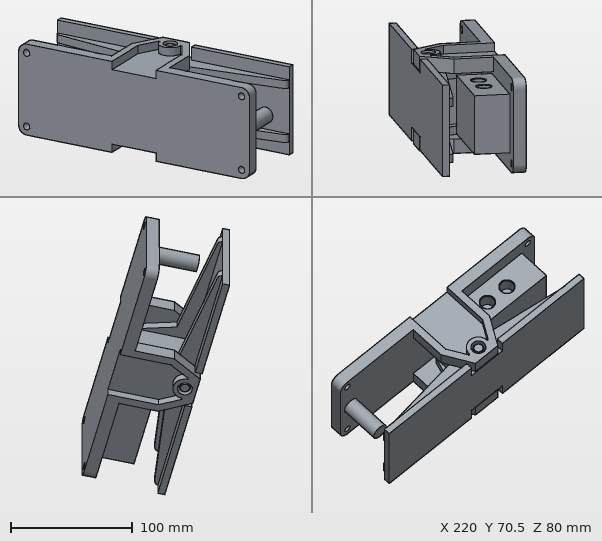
import cadquery as cq


BASE_LENGTH = 219.1
BASE_HEIGHT = 80.0
PLATE_THICKNESS = 11.0
CORNER_RADIUS = 8.0
SCREW_HOLE_DIAMETER = 6.0
SCREW_INSET = 7.7

PIVOT_Y = 60.0
POST_HALF_WIDTH = 27.5
POST_TOP_HALF_WIDTH = 12.5
POST_SHOULDER_Y = 44.2
POST_TOP_Y = 70.0
POST_THICKNESS = 12.3
POST_TOP_Z = BASE_HEIGHT / 2
POST_INNER_Z = POST_TOP_Z - POST_THICKNESS
PIVOT_HOLE_DIAMETER = 12.0

RECESS_DEPTH = 7.3
RECESS_HALF_WIDTH = 21.0
RECESS_TOP_HALF_WIDTH = 11.0
RECESS_SHOULDER_Y = 43.0
BOSS_RADIUS = 10.0

BLOCK_START_X = -95.0
BLOCK_END_X = -22.0
BLOCK_TOP_Y = 40.7
BLOCK_HEIGHT = 49.7
JACK_DIAMETER = 12.0
JACK_CHAMFER = 0.7
JACK_DEPTH = 13.2
JACK_Y = 26.5
JACK_XS = (-63.8, -41.8)

PEG_DIAMETER = 14.0
PEG_X = 98.1
PEG_TOP_Y = 46.2

PEDAL_LENGTH = 220.0
PEDAL_HEIGHT = 77.5
PEDAL_START_X = -BASE_LENGTH / 2
PEDAL_END_X = PEDAL_START_X + PEDAL_LENGTH
PEDAL_TOP_Y = 70.5
PEDAL_THICKNESS = 6.0
PEDAL_UNDER_Y = PEDAL_TOP_Y - PEDAL_THICKNESS
NOTCH_HALF_WIDTH = 17.4

RIB_OUTER_Z = 27.3
RIB_INNER_Z = 20.2
RIB_END_Y = 61.4
RIB_END_RADIUS = 3.7
RIB_END_INSET = 0.2
TONGUE_TOP_Y = 49.0
TONGUE_TOP_HALF_WIDTH = 17.0
TONGUE_BOTTOM_Y = 16.5
TONGUE_BOTTOM_HALF_WIDTH = 7.0

PIN_DIAMETER = 9.0
PIN_TIP_DIAMETER = 7.5
PIN_END_Z = 38.7


def prism(outline_points, z_start, z_end):
    """Extrude a closed XY outline from z_start to z_end."""
    outline = cq.Workplane("XY").workplane(offset=z_start).polyline(outline_points).close()
    return outline.extrude(z_end - z_start)


def block(x_range, y_range, z_range):
    """Box between the given limits on each axis."""
    (x0, x1), (y0, y1), (z0, z1) = x_range, y_range, z_range
    return cq.Workplane("XY").box(x1 - x0, y1 - y0, z1 - z0, centered=False).translate((x0, y0, z0))


def rod(diameter, x, y, z_start, z_end):
    """Cylinder parallel to Z."""
    outline = cq.Workplane("XY").workplane(offset=z_start).center(x, y).circle(diameter / 2)
    return outline.extrude(z_end - z_start)


def both_sides(shape):
    """The shape together with its mirror image in the XY plane."""
    return shape.union(shape.mirror("XY"))


def house_outline(half_width, shoulder_y, top_half_width, top_y):
    """Upright outline on y = 0 whose sides lean inwards above the shoulder."""
    return [
        (-half_width, 0),
        (half_width, 0),
        (half_width, shoulder_y),
        (top_half_width, top_y),
        (-top_half_width, top_y),
        (-half_width, shoulder_y),
    ]


def make_base_plate():
    plate = block(
        (-BASE_LENGTH / 2, BASE_LENGTH / 2),
        (0, PLATE_THICKNESS),
        (-BASE_HEIGHT / 2, BASE_HEIGHT / 2),
    )
    plate = plate.edges("|Y").fillet(CORNER_RADIUS)
    screw_spacing_x = BASE_LENGTH - 2 * SCREW_INSET
    screw_spacing_z = BASE_HEIGHT - 2 * SCREW_INSET
    screw_holes = (
        cq.Workplane("XZ")
        .rect(screw_spacing_x, screw_spacing_z, forConstruction=True)
        .vertices()
        .circle(SCREW_HOLE_DIAMETER / 2)
        .extrude(-PLATE_THICKNESS)
    )
    return plate.cut(screw_holes)


def make_post():
    outline = house_outline(POST_HALF_WIDTH, POST_SHOULDER_Y, POST_TOP_HALF_WIDTH, POST_TOP_Y)
    return prism(outline, POST_INNER_Z, POST_TOP_Z)


def make_post_recess():
    outline = house_outline(RECESS_HALF_WIDTH, RECESS_SHOULDER_Y, RECESS_TOP_HALF_WIDTH, PIVOT_Y)
    floor_z = POST_TOP_Z - RECESS_DEPTH
    boss = rod(2 * BOSS_RADIUS, 0, PIVOT_Y, floor_z, POST_TOP_Z)
    return prism(outline, floor_z, POST_TOP_Z).cut(boss)


def make_jack_block():
    top_z = BLOCK_HEIGHT / 2
    jack_block = block((BLOCK_START_X, BLOCK_END_X), (0, BLOCK_TOP_Y), (-top_z, top_z))
    for jack_x in JACK_XS:
        jack_block = jack_block.cut(rod(JACK_DIAMETER, jack_x, JACK_Y, top_z - JACK_DEPTH, top_z))
    return jack_block.faces(">Z").edges("%CIRCLE").chamfer(JACK_CHAMFER)


def make_peg():
    return cq.Workplane("XZ").center(PEG_X, 0).circle(PEG_DIAMETER / 2).extrude(-PEG_TOP_Y)


def make_base():
    base = make_base_plate().union(make_jack_block()).union(make_peg())
    base = base.union(both_sides(make_post()))
    base = base.cut(both_sides(make_post_recess()))
    pivot_hole = rod(PIVOT_HOLE_DIAMETER, 0, PIVOT_Y, POST_INNER_Z, POST_TOP_Z)
    return base.cut(both_sides(pivot_hole))


def make_pedal_plate():
    top_z = PEDAL_HEIGHT / 2
    plate = block((PEDAL_START_X, PEDAL_END_X), (PEDAL_UNDER_Y, PEDAL_TOP_Y), (-top_z, top_z))
    notch = block((-NOTCH_HALF_WIDTH, NOTCH_HALF_WIDTH), (PEDAL_UNDER_Y, PEDAL_TOP_Y), (RIB_OUTER_Z, top_z))
    return plate.cut(both_sides(notch))


def make_rib():
    """Rib with its tongue, let into the full plate thickness and rounded at both ends."""
    start_x = PEDAL_START_X + RIB_END_INSET
    end_x = PEDAL_END_X - RIB_END_INSET
    outline = [
        (start_x, PEDAL_TOP_Y),
        (start_x, RIB_END_Y),
        (-TONGUE_TOP_HALF_WIDTH, TONGUE_TOP_Y),
        (-TONGUE_BOTTOM_HALF_WIDTH, TONGUE_BOTTOM_Y),
        (TONGUE_BOTTOM_HALF_WIDTH, TONGUE_BOTTOM_Y),
        (TONGUE_TOP_HALF_WIDTH, TONGUE_TOP_Y),
        (end_x, RIB_END_Y),
        (end_x, PEDAL_TOP_Y),
    ]
    rib = prism(outline, RIB_INNER_Z, RIB_OUTER_Z)
    for end_corner in ((start_x, RIB_END_Y, RIB_INNER_Z), (end_x, RIB_END_Y, RIB_INNER_Z)):
        corner_edge = rib.edges("|Z").edges(cq.NearestToPointSelector(end_corner))
        rib = corner_edge.fillet(RIB_END_RADIUS)
    return rib


def make_web():
    """Solid web that joins the two ribs below the pedal plate."""
    half_width = TONGUE_BOTTOM_HALF_WIDTH
    return block((-half_width, half_width), (TONGUE_BOTTOM_Y, PEDAL_UNDER_Y), (-RIB_INNER_Z, RIB_INNER_Z))


def make_pin():
    pin = rod(PIN_DIAMETER, 0, PIVOT_Y, RIB_OUTER_Z, PIN_END_Z)
    return pin.faces(">Z").chamfer((PIN_DIAMETER - PIN_TIP_DIAMETER) / 2)


def make_pedal():
    pedal = make_pedal_plate().union(make_web())
    return pedal.union(both_sides(make_rib())).union(both_sides(make_pin()))


base = make_base()
pedal = make_pedal()

result = cq.Compound.makeCompound([*base.solids().vals(), *pedal.solids().vals()])